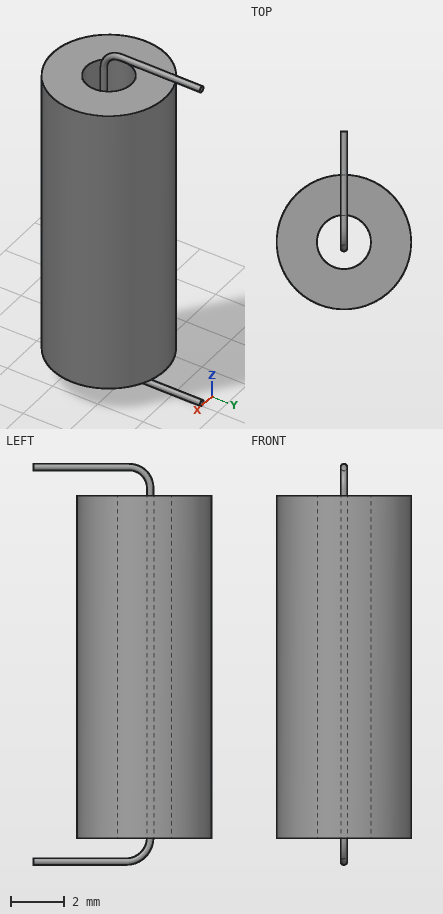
import cadquery as cq

tube_diameter = 5.0
bore_diameter = 2.0
tube_height = 12.7

wire_diameter = 0.25
wire_y = -0.22
wire_tip_y = 4.1
wire_height = 14.87
bottom_bend_radius = 0.89
top_bend_radius = 0.77
bottom_bend_start_z = 0.03

wire_bottom_z = bottom_bend_start_z - bottom_bend_radius
wire_top_z = wire_bottom_z + wire_height - wire_diameter


def make_tube():
    return (
        cq.Workplane("XY")
        .circle(tube_diameter / 2)
        .circle(bore_diameter / 2)
        .extrude(tube_height)
    )


def make_wire():
    path = (
        cq.Workplane("YZ")
        .moveTo(wire_tip_y, wire_bottom_z)
        .lineTo(wire_y + bottom_bend_radius, wire_bottom_z)
        .radiusArc((wire_y, bottom_bend_start_z), bottom_bend_radius)
        .lineTo(wire_y, wire_top_z - top_bend_radius)
        .radiusArc((wire_y + top_bend_radius, wire_top_z), top_bend_radius)
        .lineTo(wire_tip_y, wire_top_z)
    )
    return (
        cq.Workplane("XZ", origin=(0, wire_tip_y, wire_bottom_z))
        .circle(wire_diameter / 2)
        .sweep(path)
    )


tube = make_tube()
wire = make_wire()

result = cq.Compound.makeCompound([tube.val(), wire.val()])